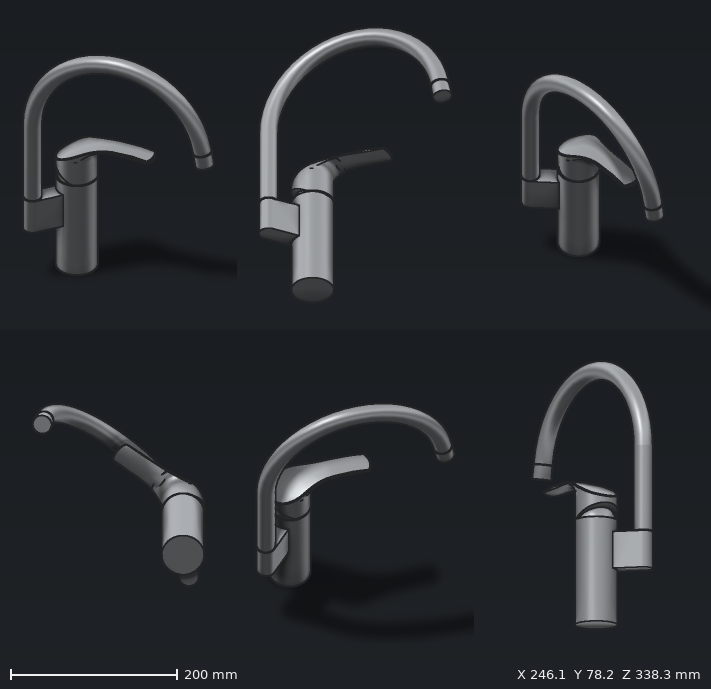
import cadquery as cq
import math

COLUMN_RADIUS = 25.55
COLUMN_HEIGHT = 128.2
DOME_RADIUS = 23.7
DOME_CENTER_Z = 125.2

TUBE_RADIUS = 11.5
SPOUT_OFFSET = 41.0
BOSS_BOTTOM = 66.5
BOSS_TOP = 111.5
ARM_LENGTH = SPOUT_OFFSET * math.sqrt(2)

FOOT_GROOVE_RADIUS = 11.0
FOOT_GROOVE_HEIGHT = 1.0
BEND_RADIUS = 110.5
SPOUT_TOP = 338.3
BEND_CENTER_Z = SPOUT_TOP - TUBE_RADIUS - BEND_RADIUS
BEND_CENTER_X = BEND_RADIUS - SPOUT_OFFSET
OUTLET_TILT = 10.0
OUTLET_RING_LENGTH = 4.5

NECK_RADIUS = 11.0
NECK_LENGTH = 1.0
CAP_LENGTH = 17.3

HANDLE_RADIUS = 25.7
HANDLE_BOTTOM = 130.0
SLANT_START_X = 2.5
SLANT_END_Z = 146.0
CROWN_RADIUS = 98.0
UNDERSIDE_RADIUS = 40.5
RIM_CHAMFER = 1.0
THROAT_BOTTOM = 161.5
THROAT_RADIUS = 39.2
THROAT_TOP = 176.3
BLADE_TIP_X = 100.0
BLADE_CORNER_X = 96.0
BLADE_CORNER_Y = 13.2
SKIRT_TOP = 186.0
SECTION_HEIGHT = 27.0
SECTION_HALF_WIDTH = HANDLE_RADIUS + 3.5

CROWN_LINE = [(-40.5, 145.5), (-19.3, 159.0), (-4.0, 168.8), (10.5, 174.5), (27.5, 179.3), (46.0, 182.5),
              (61.5, 182.7), (78.5, 182.0), (88.5, 180.5), (105.0, 177.5)]
BLADE_UNDERSIDE = [(-10.0, 152.2), (10.0, 163.0), (27.5, 172.2), (THROAT_RADIUS, 175.5), (66.5, 175.5),
                   (80.2, 175.0), (90.5, 174.5), (105.0, 174.5)]
TOP_FACE_POINT = (34.0, 0, 180.5)
PLAN_EDGE = [(18.3, 20.5), (33.5, 16.0), (46.5, 14.2), (64.0, 13.5), (BLADE_CORNER_X, BLADE_CORNER_Y)]
PLAN_TANGENT_ANGLE = 75.0


def cylinder(radius, bottom, top):
    return cq.Workplane("XY").workplane(offset=bottom).circle(radius).extrude(top - bottom)


def make_dome():
    ball = cq.Workplane("XY").sphere(DOME_RADIUS).translate((0, 0, DOME_CENTER_Z))
    return ball.intersect(cylinder(COLUMN_RADIUS, COLUMN_HEIGHT, SKIRT_TOP))


def make_column(dome):
    """Column and dome with the 45 degree arm and the round boss under the spout."""
    column = cylinder(COLUMN_RADIUS, 0, COLUMN_HEIGHT).union(dome)
    arm = (
        cq.Workplane("XY").workplane(offset=BOSS_BOTTOM)
        .center(-ARM_LENGTH / 2, 0)
        .rect(ARM_LENGTH, 2 * TUBE_RADIUS)
        .extrude(BOSS_TOP - BOSS_BOTTOM)
        .rotate((0, 0, 0), (0, 0, 1), 45)
    )
    boss = cylinder(TUBE_RADIUS, BOSS_BOTTOM, BOSS_TOP).translate((-SPOUT_OFFSET, -SPOUT_OFFSET, 0))
    return column.union(arm).union(boss)


def outlet_plane(distance):
    """Plane square to the outlet axis, at a distance past the end of the bend."""
    tilt = math.radians(OUTLET_TILT)
    x = BEND_CENTER_X + BEND_RADIUS * math.cos(tilt) + distance * math.sin(tilt)
    z = BEND_CENTER_Z + BEND_RADIUS * math.sin(tilt) - distance * math.cos(tilt)
    return cq.Plane(
        origin=(x, -SPOUT_OFFSET, z),
        xDir=(0, 1, 0),
        normal=(math.sin(tilt), 0, -math.cos(tilt)),
    )


def make_spout():
    """Bent tube, with a narrow groove at its foot and a straight ring at its outlet."""
    riser_start = BOSS_TOP + FOOT_GROOVE_HEIGHT
    foot = cylinder(FOOT_GROOVE_RADIUS, BOSS_TOP, riser_start)
    riser = cylinder(TUBE_RADIUS, riser_start, BEND_CENTER_Z)
    bend = (
        cq.Workplane("XY").workplane(offset=BEND_CENTER_Z)
        .circle(TUBE_RADIUS)
        .revolve(180 - OUTLET_TILT, (BEND_RADIUS, 0, 0), (BEND_RADIUS, 1, 0))
    )
    upright = foot.union(riser).union(bend).translate((-SPOUT_OFFSET, -SPOUT_OFFSET, 0))
    ring = cq.Workplane(outlet_plane(0)).circle(TUBE_RADIUS).extrude(OUTLET_RING_LENGTH)
    return upright.union(ring)


def make_aerator():
    neck = cq.Workplane(outlet_plane(OUTLET_RING_LENGTH)).circle(NECK_RADIUS).extrude(NECK_LENGTH)
    cap_start = OUTLET_RING_LENGTH + NECK_LENGTH
    cap = cq.Workplane(outlet_plane(cap_start)).circle(TUBE_RADIUS).extrude(CAP_LENGTH)
    return neck.union(cap)


def handle_plan():
    """Spoon outline seen along Z: round end, waist and a slightly bowed tip."""
    angle = math.radians(PLAN_TANGENT_ANGLE)
    start = (HANDLE_RADIUS * math.cos(angle), HANDLE_RADIUS * math.sin(angle))
    side = [start] + PLAN_EDGE
    mirrored = [(x, -y) for x, y in reversed(side)]
    leaving = (math.sin(angle), -math.cos(angle))
    return (
        cq.Workplane("XY").workplane(offset=HANDLE_BOTTOM)
        .moveTo(*start)
        .spline(side[1:], tangents=[leaving, (1, 0)], includeCurrent=True)
        .threePointArc((BLADE_TIP_X, 0), mirrored[0])
        .spline(mirrored[1:], tangents=[(-1, 0), (-leaving[0], leaving[1])], includeCurrent=True)
        .threePointArc((-HANDLE_RADIUS, 0), start)
        .close()
        .extrude(SKIRT_TOP - HANDLE_BOTTOM)
    )


def handle_blade():
    """Everything above the convex blade underside, swept along its middle line."""
    path = cq.Workplane("XZ").spline(BLADE_UNDERSIDE)
    half_width = SECTION_HALF_WIDTH
    sag = UNDERSIDE_RADIUS - math.sqrt(UNDERSIDE_RADIUS**2 - half_width**2)
    start = cq.Vector(BLADE_UNDERSIDE[0][0], 0, BLADE_UNDERSIDE[0][1])
    section = cq.Plane(origin=start, xDir=(0, 1, 0), normal=path.val().tangentAt(0))
    return (
        cq.Workplane(section)
        .moveTo(-half_width, sag)
        .threePointArc((0, 0), (half_width, sag))
        .lineTo(half_width, SECTION_HEIGHT)
        .lineTo(-half_width, SECTION_HEIGHT)
        .close()
        .sweep(path)
    )


def handle_throat():
    """Concave flare that joins the skirt to the blade."""
    rise = THROAT_TOP - THROAT_BOTTOM
    reach = THROAT_RADIUS - HANDLE_RADIUS
    bow = 1 - math.sqrt(0.5)
    return (
        cq.Workplane("XZ")
        .moveTo(0, THROAT_BOTTOM)
        .lineTo(HANDLE_RADIUS, THROAT_BOTTOM)
        .threePointArc(
            (HANDLE_RADIUS + reach * bow, THROAT_TOP - rise * bow), (THROAT_RADIUS, THROAT_TOP)
        )
        .lineTo(THROAT_RADIUS, SKIRT_TOP)
        .lineTo(0, SKIRT_TOP)
        .close()
        .revolve(360, (0, 0, 0), (0, 1, 0))
    )


def crown_cutter():
    """Material above the crosswise rounded top face, swept along the crown line."""
    path = cq.Workplane("XZ").spline(CROWN_LINE)
    half_width = SECTION_HALF_WIDTH
    sag = CROWN_RADIUS - math.sqrt(CROWN_RADIUS**2 - half_width**2)
    start = cq.Vector(CROWN_LINE[0][0], 0, CROWN_LINE[0][1])
    section = cq.Plane(origin=start, xDir=(0, 1, 0), normal=path.val().tangentAt(0))
    return (
        cq.Workplane(section)
        .moveTo(-half_width, -sag)
        .threePointArc((0, 0), (half_width, -sag))
        .lineTo(half_width, SECTION_HEIGHT)
        .lineTo(-half_width, SECTION_HEIGHT)
        .close()
        .sweep(path)
    )


def slant_cutter():
    """Wedge that opens the skirt under the -X side."""
    depth = 2 * HANDLE_RADIUS
    slope = (SLANT_END_Z - HANDLE_BOTTOM) / (SLANT_START_X + HANDLE_RADIUS)
    return (
        cq.Workplane("XZ")
        .moveTo(SLANT_START_X, HANDLE_BOTTOM)
        .lineTo(-depth, HANDLE_BOTTOM + slope * (SLANT_START_X + depth))
        .lineTo(-depth, HANDLE_BOTTOM)
        .close()
        .extrude(depth, both=True)
    )


def make_handle(dome):
    skirt = cylinder(HANDLE_RADIUS, HANDLE_BOTTOM, SKIRT_TOP)
    plan = handle_plan()
    lever = plan.intersect(handle_blade()).union(plan.intersect(handle_throat()))
    stock = skirt.union(lever)
    crowned = stock.cut(crown_cutter())
    top_face = cq.selectors.NearestToPointSelector(TOP_FACE_POINT)
    rimmed = crowned.faces(top_face).chamfer(RIM_CHAMFER)
    return rimmed.cut(slant_cutter()).cut(dome)


dome = make_dome()
column = make_column(dome)
spout = make_spout()
aerator = make_aerator()
handle = make_handle(dome)

result = cq.Compound.makeCompound([column.val(), spout.val(), aerator.val(), handle.val()])